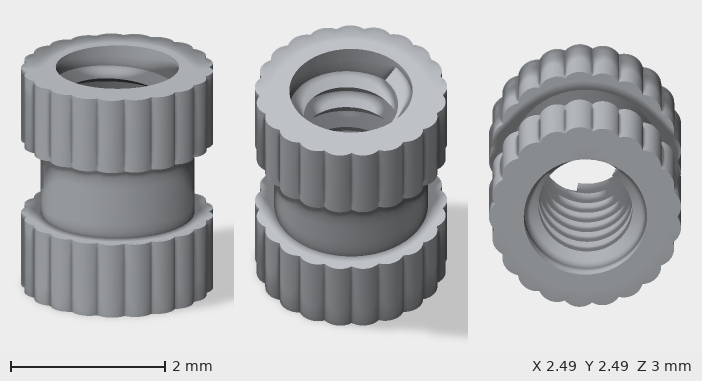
import cadquery as cq
import math


KNURL_HEIGHT = 1.0
NECK_HEIGHT = 1.0
TOTAL_HEIGHT = 2 * KNURL_HEIGHT + NECK_HEIGHT
NECK_DIAMETER = 2.0

LOBE_COUNT = 21
LOBE_RADIUS = 0.25
LOBE_CENTRE_RADIUS = NECK_DIAMETER / 2
FIRST_LOBE_ANGLE = 90.0
LOBE_PITCH_ANGLE = 360.0 / LOBE_COUNT

BORE_RADIUS = 1.6 / 2
THREAD_PITCH = 0.35
THREAD_MINOR_RADIUS = 0.61
THREAD_FLANK_ANGLE = 30.0
THREAD_HEIGHT = 2.6
THREAD_START_Z = (TOTAL_HEIGHT - THREAD_HEIGHT) / 2
THREAD_START_ANGLE = 180.0
THREAD_ROOT_OVERLAP = 0.03


def polar(radius, angle):
    """Point in the XY plane at a radius and an angle in degrees."""
    return (radius * math.cos(math.radians(angle)), radius * math.sin(math.radians(angle)))


def make_knurl(base_z):
    """Disc whose rim is a ring of outward arcs meeting in cusps."""
    tip_radius = LOBE_CENTRE_RADIUS + LOBE_RADIUS
    half_angle = LOBE_PITCH_ANGLE / 2
    half_chord = LOBE_CENTRE_RADIUS * math.sin(math.radians(half_angle))
    cusp_radius = (
        LOBE_CENTRE_RADIUS * math.cos(math.radians(half_angle))
        + math.sqrt(LOBE_RADIUS**2 - half_chord**2)
    )

    outline = cq.Workplane("XY", origin=(0, 0, base_z))
    outline = outline.moveTo(*polar(cusp_radius, FIRST_LOBE_ANGLE - half_angle))
    for index in range(LOBE_COUNT):
        lobe_angle = FIRST_LOBE_ANGLE + index * LOBE_PITCH_ANGLE
        lobe_tip = polar(tip_radius, lobe_angle)
        next_cusp = polar(cusp_radius, lobe_angle + half_angle)
        outline = outline.threePointArc(lobe_tip, next_cusp)
    return outline.close().extrude(KNURL_HEIGHT)


def make_thread():
    """Right-hand helical ridge of triangular section, pointing at the axis."""
    root_radius = BORE_RADIUS + THREAD_ROOT_OVERLAP
    ridge_depth = root_radius - THREAD_MINOR_RADIUS
    root_half_width = ridge_depth * math.tan(math.radians(THREAD_FLANK_ANGLE))

    helix = cq.Wire.makeHelix(THREAD_PITCH, THREAD_HEIGHT, root_radius)
    ridge = (
        cq.Workplane("XZ")
        .moveTo(root_radius, -root_half_width)
        .lineTo(THREAD_MINOR_RADIUS, 0)
        .lineTo(root_radius, root_half_width)
        .close()
        .sweep(cq.Workplane(helix), isFrenet=True)
    )
    ridge = ridge.rotate((0, 0, 0), (0, 0, 1), THREAD_START_ANGLE)
    return ridge.translate((0, 0, THREAD_START_Z))


neck = cq.Workplane("XY").circle(NECK_DIAMETER / 2).extrude(TOTAL_HEIGHT)
lower_knurl = make_knurl(0)
upper_knurl = make_knurl(KNURL_HEIGHT + NECK_HEIGHT)
bore = cq.Workplane("XY").circle(BORE_RADIUS).extrude(TOTAL_HEIGHT)

body = neck.union(lower_knurl).union(upper_knurl).cut(bore)
result = body.union(make_thread())